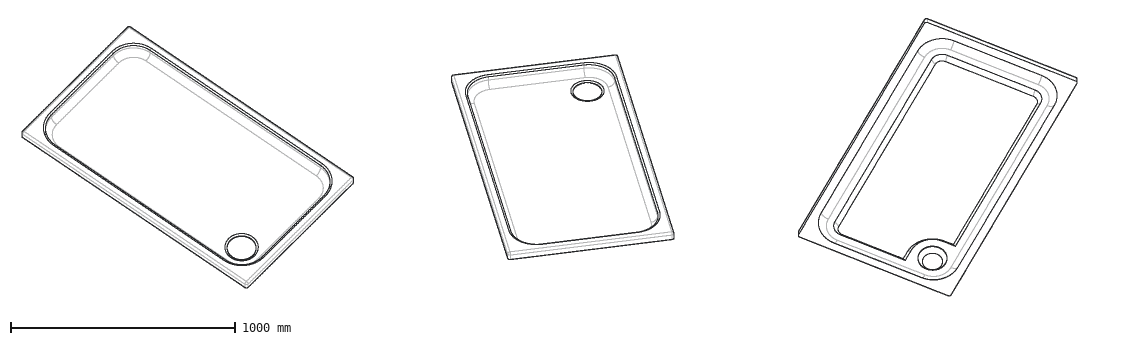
import cadquery as cq
import math

LENGTH = 1306.0
WIDTH = 756.0
HEIGHT = 85.0
RIM_HEIGHT = 37.0
RIM_ROUND = 10.0

BASIN_INSET = 45.0
BASIN_CORNER_RADIUS = 116.0
BASIN_CHAMFER_WIDTH = 9.0
BASIN_CHAMFER_DEPTH = 5.0
BASIN_FLOOR_FILLET = 30.0
FLOOR_Z = 31.0

SHELL_THICKNESS = 8.0
SHELL_INSET = BASIN_INSET - SHELL_THICKNESS
SHELL_BOTTOM_Z = FLOOR_Z - SHELL_THICKNESS
SHELL_BOTTOM_FILLET = BASIN_FLOOR_FILLET + SHELL_THICKNESS

CORNER_CENTRE_INSET = BASIN_INSET + BASIN_CORNER_RADIUS

BOSS_BOTTOM_DIAMETER = 90.0
BOSS_TOP_DIAMETER = 129.0
FOOT_SPREAD = (BOSS_TOP_DIAMETER - BOSS_BOTTOM_DIAMETER) / 2
FOOT_TAPER = math.degrees(math.atan(FOOT_SPREAD / SHELL_BOTTOM_Z))
FOOT_BOTTOM_INSET = 127.0

DRAIN_INSET = 170.0
DRAIN_X = LENGTH / 2 - DRAIN_INSET
DRAIN_Y = DRAIN_INSET - WIDTH / 2
NOTCH_BOTTOM_RADIUS = 124.0

COVER_DIAMETER = 129.0
COVER_DOME_HEIGHT = 13.0
RECESS_TOP_DIAMETER = 149.0
RECESS_DEPTH = 4.0
RECESS_FLOOR_Z = FLOOR_Z - RECESS_DEPTH


def rounded_block(inset, bottom_z, height, taper=0.0):
    """A block inset from the outer sides, its corners centred on the common corner centres."""
    corner_radius = CORNER_CENTRE_INSET - inset
    outline = cq.Sketch().rect(LENGTH - 2 * inset, WIDTH - 2 * inset).vertices().fillet(corner_radius)
    return cq.Workplane("XY").workplane(offset=bottom_z).placeSketch(outline).extrude(height, taper=taper)


def make_rim():
    slab = (
        cq.Workplane("XY")
        .workplane(offset=HEIGHT - RIM_HEIGHT)
        .rect(LENGTH, WIDTH)
        .extrude(RIM_HEIGHT)
    )
    return slab.edges("|Z or >Z").fillet(RIM_ROUND)


def make_shell():
    block = rounded_block(SHELL_INSET, SHELL_BOTTOM_Z, HEIGHT - RIM_ROUND - SHELL_BOTTOM_Z)
    return block.faces("<Z").edges().fillet(SHELL_BOTTOM_FILLET)


def make_foot():
    """The tapered foot, with its drain corner notched away concentric with the drain."""
    foot = rounded_block(FOOT_BOTTOM_INSET, 0, SHELL_BOTTOM_Z, taper=-FOOT_TAPER)
    notch_side = 2 * (2 * DRAIN_INSET + NOTCH_BOTTOM_RADIUS)
    notch = (
        cq.Workplane("XY")
        .center(LENGTH / 2 + DRAIN_INSET, -WIDTH / 2 - DRAIN_INSET)
        .sketch()
        .rect(notch_side, notch_side)
        .vertices()
        .fillet(NOTCH_BOTTOM_RADIUS)
        .finalize()
        .extrude(SHELL_BOTTOM_Z, taper=FOOT_TAPER)
    )
    return foot.cut(notch)


def make_drain_boss():
    return (
        cq.Workplane("XY")
        .center(DRAIN_X, DRAIN_Y)
        .circle(BOSS_BOTTOM_DIAMETER / 2)
        .extrude(SHELL_BOTTOM_Z, taper=-FOOT_TAPER)
    )


def make_basin_cutter():
    block = rounded_block(BASIN_INSET, FLOOR_Z, HEIGHT - FLOOR_Z)
    block = block.faces("<Z").edges().fillet(BASIN_FLOOR_FILLET)
    chamfer_angle = math.degrees(math.atan(BASIN_CHAMFER_WIDTH / BASIN_CHAMFER_DEPTH))
    chamfer_bottom_z = HEIGHT - BASIN_CHAMFER_DEPTH
    chamfer = rounded_block(BASIN_INSET, chamfer_bottom_z, BASIN_CHAMFER_DEPTH, taper=-chamfer_angle)
    return block.union(chamfer)


def make_drain_recess_cutter():
    """A cone frustum that narrows from the basin floor to the size of the cover."""
    return (
        cq.Workplane("XY")
        .workplane(offset=RECESS_FLOOR_Z)
        .center(DRAIN_X, DRAIN_Y)
        .circle(COVER_DIAMETER / 2)
        .workplane(offset=RECESS_DEPTH)
        .circle(RECESS_TOP_DIAMETER / 2)
        .loft()
    )


def make_tray():
    tray = make_rim().union(make_shell()).union(make_foot()).union(make_drain_boss())
    tray = tray.cut(make_basin_cutter())
    return tray.cut(make_drain_recess_cutter())


def make_drain_cover():
    """A shallow spherical dome resting on the recess floor."""
    radius = COVER_DIAMETER / 2
    sphere_radius = (radius**2 + COVER_DOME_HEIGHT**2) / (2 * COVER_DOME_HEIGHT)
    dome = (
        cq.Workplane("XZ")
        .lineTo(radius, 0)
        .radiusArc((0, COVER_DOME_HEIGHT), -sphere_radius)
        .close()
        .revolve(360, (0, 0), (0, 1))
    )
    return dome.translate((DRAIN_X, DRAIN_Y, RECESS_FLOOR_Z))


tray = make_tray()
drain_cover = make_drain_cover()
result = cq.Compound.makeCompound([tray.solids().val(), drain_cover.val()])